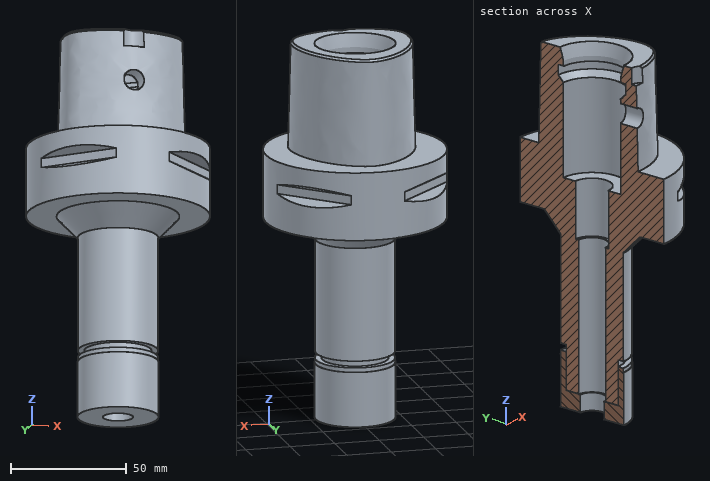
import cadquery as cq
import math

overall_height = 168.0
nut_shoulder_z = 24.7
nut_height = 26.7
neck_bottom_z = 29.7
neck_top_z = 80.5
flange_bottom_z = 90.0
flange_top_z = 120.5

flange_radius = 40.0
cone_top_radius = 26.7
neck_radius = 17.5
thread_radius = 14.6
nut_radius = 17.6
nut_collar_radius = 17.5

shank_base_radius = 27.7
shank_taper = 1 / 40
lobe_amplitude = 2.0
shank_chamfer_height = 1.0
shank_chamfer_width = 0.8
lobe_curve_points = 72

main_bore_radius = 15.8
entry_radius = 17.6
entry_depth = 6.0
groove_radius = 18.6
groove_top_depth = 8.5
groove_wall_end_depth = 13.3
groove_bottom_depth = groove_wall_end_depth + groove_radius - main_bore_radius
main_bore_depth = 60.5

upper_bore_radius = 9.0
lower_bore_radius = 7.4
upper_bore_bottom_z = neck_top_z
nut_bore_radius = 6.5

nut_floor_thickness = 8.4

cross_hole_radius = 4.5
cross_hole_z = 145.2
notch_radius = 5.9
notch_depth = 7.7
notch_inner_y = -22.2

slot_count = 4
first_slot_angle = 45.0
slot_floor_distance = 35.5
slot_center_z = 108.2
slot_floor_height = 4.0
slot_mouth_height = 8.7


def cylinder(radius, bottom_z, top_z):
    return cq.Workplane("XY").workplane(offset=bottom_z).circle(radius).extrude(top_z - bottom_z)


def lobed_section(sketch, mean_radius):
    """Add a closed constant-width three-lobed curve."""

    def point(t):
        angle = 2 * math.pi * t
        radial = mean_radius + lobe_amplitude * math.cos(3 * angle)
        tangential = -3 * lobe_amplitude * math.sin(3 * angle)
        along_lobe = radial * math.cos(angle) - tangential * math.sin(angle)
        across_lobe = radial * math.sin(angle) + tangential * math.cos(angle)
        return (-across_lobe, along_lobe)

    points = [point(i / lobe_curve_points) for i in range(lobe_curve_points)]
    return sketch.spline(points, periodic=True).close()


def lobed_loft(bottom_z, bottom_radius, top_z, top_radius):
    bottom = lobed_section(cq.Workplane("XY").workplane(offset=bottom_z), bottom_radius)
    return lobed_section(bottom.workplane(offset=top_z - bottom_z), top_radius).loft(ruled=True)


def make_shank():
    chamfer_z = overall_height - shank_chamfer_height
    chamfer_radius = shank_base_radius - shank_taper * (chamfer_z - flange_top_z)
    taper = lobed_loft(flange_top_z, shank_base_radius, chamfer_z, chamfer_radius)
    chamfer = lobed_loft(chamfer_z, chamfer_radius, overall_height, chamfer_radius - shank_chamfer_width)
    return taper.union(chamfer)


def make_round_body():
    """Flange, cone, neck and threaded end, revolved about Z."""
    profile = [
        (0, nut_floor_thickness),
        (thread_radius, nut_floor_thickness),
        (thread_radius, neck_bottom_z),
        (neck_radius, neck_bottom_z),
        (neck_radius, neck_top_z),
        (cone_top_radius, flange_bottom_z),
        (flange_radius, flange_bottom_z),
        (flange_radius, flange_top_z),
        (0, flange_top_z),
    ]
    return cq.Workplane("XZ").polyline(profile).close().revolve(360, (0, 0), (0, 1))


def make_stepped_bore():
    floor_z = overall_height - main_bore_depth
    entry_z = overall_height - entry_depth
    groove_top_z = overall_height - groove_top_depth
    groove_wall_end_z = overall_height - groove_wall_end_depth
    groove_bottom_z = overall_height - groove_bottom_depth
    profile = [
        (0, nut_floor_thickness),
        (lower_bore_radius, nut_floor_thickness),
        (lower_bore_radius, upper_bore_bottom_z),
        (upper_bore_radius, upper_bore_bottom_z),
        (upper_bore_radius, floor_z),
        (main_bore_radius, floor_z),
        (main_bore_radius, groove_bottom_z),
        (groove_radius, groove_wall_end_z),
        (groove_radius, groove_top_z),
        (main_bore_radius, groove_top_z),
        (main_bore_radius, entry_z),
        (entry_radius, overall_height),
        (0, overall_height),
    ]
    return cq.Workplane("XZ").polyline(profile).close().revolve(360, (0, 0), (0, 1))


def make_gripper_slot(angle):
    """Straight slot with sloped sides, cut across the flange rim."""
    half_floor = slot_floor_height / 2
    half_mouth = slot_mouth_height / 2
    profile = [
        (slot_floor_distance, slot_center_z - half_floor),
        (flange_radius, slot_center_z - half_mouth),
        (flange_radius, slot_center_z + half_mouth),
        (slot_floor_distance, slot_center_z + half_floor),
    ]
    slot = cq.Workplane("XZ").polyline(profile).close().extrude(flange_radius, both=True)
    return slot.rotate((0, 0, 0), (0, 0, 1), angle)


def make_cross_hole():
    hole = cq.Workplane("XZ").center(0, cross_hole_z).circle(cross_hole_radius)
    return hole.extrude(flange_radius)


def make_notch():
    notch = cylinder(notch_radius, overall_height - notch_depth, overall_height)
    return notch.translate((0, notch_inner_y - notch_radius, 0))


def make_holder():
    body = make_round_body().union(make_shank())
    body = body.cut(make_stepped_bore()).cut(make_cross_hole()).cut(make_notch())
    for i in range(slot_count):
        body = body.cut(make_gripper_slot(first_slot_angle + i * 360 / slot_count))
    return body


def make_nut():
    """Cup-shaped nut around the threaded end, with a slightly smaller collar on top."""
    nut = cylinder(nut_radius, 0, nut_shoulder_z)
    nut = nut.union(cylinder(nut_collar_radius, nut_shoulder_z, nut_height))
    nut = nut.cut(cylinder(thread_radius, nut_floor_thickness, nut_height))
    return nut.cut(cylinder(nut_bore_radius, 0, nut_floor_thickness))


holder = make_holder()
nut = make_nut()

result = cq.Compound.makeCompound([holder.solids().val(), nut.solids().val()])